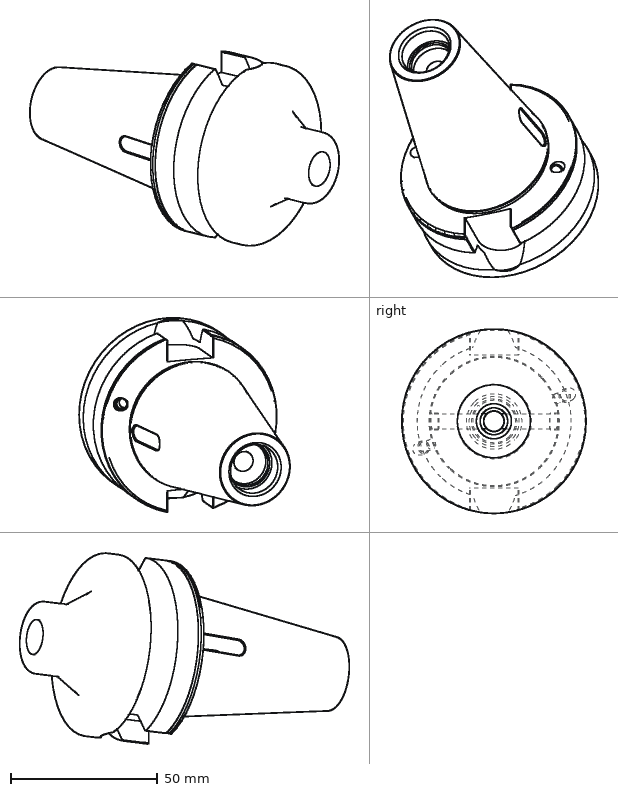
import cadquery as cq
import math


length = 115.4
shank_length = 65.4
shank_taper = 7 / 24
gauge_radius = 22.3
shank_end_radius = gauge_radius - shank_length * shank_taper / 2
shank_end_chamfer = 0.2
neck_radius = 21.9

flange_front = 66.5
flange_back = 92.4
flange_radius = 31.5
front_rim_round = 0.7
back_rim_round = 1.0
face_recess_radius = 24.8
face_recess_depth = 0.6

cone_half_angle = math.radians(30)

grip_center = 82.0
grip_floor_width = 4.4
grip_floor_radius = 26.3
grip_corner_fillet = 0.9
grip_floor_half = grip_floor_width / 2
grip_mouth_half = grip_floor_half + (flange_radius - grip_floor_radius) * math.tan(cone_half_angle)

ring_center = 68.3
ring_half_width = 0.52
ring_depth = 0.5

nose_radius = 12.5
nose_cone_base_radius = 19.0
nose_cone_end = flange_back + (nose_cone_base_radius - nose_radius) / math.tan(cone_half_angle)
nose_rim_round = 2.1
nose_base_fillet = 1.8
nose_neck_fillet = 1.6

bore_chamfer_radius = 9.5
bore_radius = 8.5
bore_depth = 6.9
thread_chamfer_radius = 7.7
thread_radius = 7.3
thread_end = 9.6
pilot_radius = 3.5
drill_half_angle = math.radians(59)

socket_mouth_radius = 6.0
socket_depth = 56.0
socket_taper = 1 / 20
socket_end_radius = socket_mouth_radius - socket_depth * socket_taper / 2

drift_start = 44.2
drift_end = 63.4
drift_width = 5.2
drift_edge_chamfer = 0.3

key_width = 16.3
key_floor = 22.7
key_end = 88.6
key_edge_chamfer = 0.3

inlet_diameter = 4.5
inlet_circle_radius = 26.9
inlet_angle = 20
inlet_tilt = math.radians(30)
inlet_mouth_depth = 2.5
inlet_drill_diameter = 3.5
inlet_depth = 8.1


def body():
    """Outer shape revolved about the X axis."""
    profile = (
        cq.Workplane("XY")
        .moveTo(0, 0)
        .lineTo(0, shank_end_radius - shank_end_chamfer)
        .lineTo(shank_end_chamfer, shank_end_radius + shank_end_chamfer * shank_taper / 2)
        .lineTo(shank_length, gauge_radius)
        .lineTo(shank_length, neck_radius)
        .lineTo(flange_front + face_recess_depth, neck_radius)
        .lineTo(flange_front, face_recess_radius)
        .lineTo(flange_front, flange_radius - front_rim_round)
        .radiusArc((flange_front + front_rim_round, flange_radius), front_rim_round)
        .lineTo(ring_center - ring_half_width, flange_radius)
        .threePointArc(
            (ring_center, flange_radius - ring_depth),
            (ring_center + ring_half_width, flange_radius),
        )
        .lineTo(grip_center - grip_mouth_half, flange_radius)
        .lineTo(grip_center - grip_floor_half, grip_floor_radius)
        .lineTo(grip_center + grip_floor_half, grip_floor_radius)
        .lineTo(grip_center + grip_mouth_half, flange_radius)
        .lineTo(flange_back - back_rim_round, flange_radius)
        .radiusArc((flange_back, flange_radius - back_rim_round), back_rim_round)
        .lineTo(flange_back, nose_cone_base_radius)
        .lineTo(nose_cone_end, nose_radius)
        .lineTo(length - nose_rim_round, nose_radius)
        .radiusArc((length, nose_radius - nose_rim_round), nose_rim_round)
        .lineTo(length, 0)
        .close()
    )
    turned = profile.revolve(360, (0, 0, 0), (1, 0, 0))
    rings = [
        (flange_back, nose_cone_base_radius, nose_base_fillet),
        (nose_cone_end, nose_radius, nose_neck_fillet),
        (grip_center - grip_floor_half, grip_floor_radius, grip_corner_fillet),
        (grip_center + grip_floor_half, grip_floor_radius, grip_corner_fillet),
    ]
    for x, radius, size in rings:
        turned = fillet_ring(turned, x, radius, size)
    return turned


def fillet_ring(solid, x, radius, size):
    """Fillet the circular edge of the given radius in the plane at x."""
    reach = 0.06
    ring_box = cq.selectors.BoxSelector(
        (x - reach, -radius - reach, -radius - reach),
        (x + reach, radius + reach, radius + reach),
        boundingbox=True,
    )
    return solid.edges(ring_box).edges(cq.selectors.RadiusNthSelector(-1)).fillet(size)


def drawbar_bore():
    """Counterbored drill hole in the shank, with a pilot hole on to the socket."""
    mouth_chamfer = bore_chamfer_radius - bore_radius
    cone_length = (thread_radius - pilot_radius) / math.tan(drill_half_angle)
    return (
        cq.Workplane("XY")
        .moveTo(0, 0)
        .lineTo(0, bore_chamfer_radius)
        .lineTo(mouth_chamfer, bore_radius)
        .lineTo(bore_depth, bore_radius)
        .lineTo(bore_depth, thread_chamfer_radius)
        .lineTo(bore_depth + thread_chamfer_radius - thread_radius, thread_radius)
        .lineTo(thread_end, thread_radius)
        .lineTo(thread_end + cone_length, pilot_radius)
        .lineTo(length, pilot_radius)
        .lineTo(length, 0)
        .close()
        .revolve(360, (0, 0, 0), (1, 0, 0))
    )


def tool_socket():
    """Tapered socket, open at the nose and reaching into the drift slot."""
    return (
        cq.Workplane("XY")
        .moveTo(length, 0)
        .lineTo(length, socket_mouth_radius)
        .lineTo(length - socket_depth, socket_end_radius)
        .lineTo(length - socket_depth, 0)
        .close()
        .revolve(360, (0, 0, 0), (1, 0, 0))
    )


def cut_drift_slot(solid):
    """Cut the round-ended slot through the shank along Y and bevel its rims."""
    slot = (
        cq.Workplane("XZ")
        .center((drift_start + drift_end) / 2, 0)
        .slot2D(drift_end - drift_start, drift_width)
        .extrude(flange_radius, both=True)
    )
    rims = cq.selectors.BoxSelector(
        (drift_start - drift_edge_chamfer, -flange_radius, -drift_width),
        (drift_end + drift_edge_chamfer, flange_radius, drift_width),
        boundingbox=True,
    )
    return solid.cut(slot).edges(rims).chamfer(drift_edge_chamfer)


def key_slot(side):
    """Drive key slot with a round end, above (side = 1) or below (side = -1)."""
    half = key_width / 2
    return (
        cq.Workplane("XY", origin=(0, 0, side * key_floor))
        .moveTo(shank_length, -half)
        .lineTo(key_end - half, -half)
        .threePointArc((key_end, 0), (key_end - half, half))
        .lineTo(shank_length, half)
        .close()
        .extrude(side * flange_radius)
    )


def key_edge_bevels(side):
    """Bevels on the key slot edges: along the collar, on its front face and at the round end."""
    half = key_width / 2
    bevel = key_edge_chamfer
    edge_height = math.sqrt(flange_radius**2 - half**2)
    overshoot = 2 * bevel
    along_collar = (
        cq.Workplane("YZ", origin=(flange_front, 0, 0))
        .moveTo(-half, side * (edge_height - bevel))
        .lineTo(half, side * (edge_height - bevel))
        .lineTo(half + overshoot, side * (edge_height - bevel + overshoot))
        .lineTo(-half - overshoot, side * (edge_height - bevel + overshoot))
        .close()
        .extrude(grip_center - flange_front)
    )
    front_face = (
        cq.Workplane("XY", origin=(0, 0, side * key_floor))
        .moveTo(flange_front, -half - bevel)
        .lineTo(flange_front + bevel, -half)
        .lineTo(flange_front + bevel, half)
        .lineTo(flange_front, half + bevel)
        .close()
        .extrude(side * flange_radius)
    )
    round_end = cq.Solid.makeCone(
        half,
        half + overshoot,
        overshoot,
        cq.Vector(key_end - half, 0, side * (flange_radius - bevel)),
        cq.Vector(0, 0, side),
    )
    return along_collar, front_face, round_end


def coolant_inlet(angle):
    """Hole from the front face, leaning toward the axis; angle is measured from +Y."""
    direction = cq.Vector(math.cos(inlet_tilt), -math.sin(inlet_tilt), 0)
    mouth = cq.Vector(flange_front, inlet_circle_radius, 0)
    lead = inlet_diameter
    counterbore = cq.Solid.makeCylinder(
        inlet_diameter / 2, inlet_mouth_depth + lead, mouth - direction * lead, direction
    )
    drill = cq.Solid.makeCylinder(inlet_drill_diameter / 2, inlet_depth, mouth, direction)
    hole = counterbore.fuse(drill)
    return cq.Workplane(obj=hole).rotate((0, 0, 0), (1, 0, 0), angle)


result = cut_drift_slot(body())
result = result.cut(drawbar_bore()).cut(tool_socket())
for side in (1, -1):
    result = result.cut(key_slot(side))
    for bevel_cut in key_edge_bevels(side):
        result = result.cut(bevel_cut)
for angle in (inlet_angle, inlet_angle + 180):
    result = result.cut(coolant_inlet(angle))